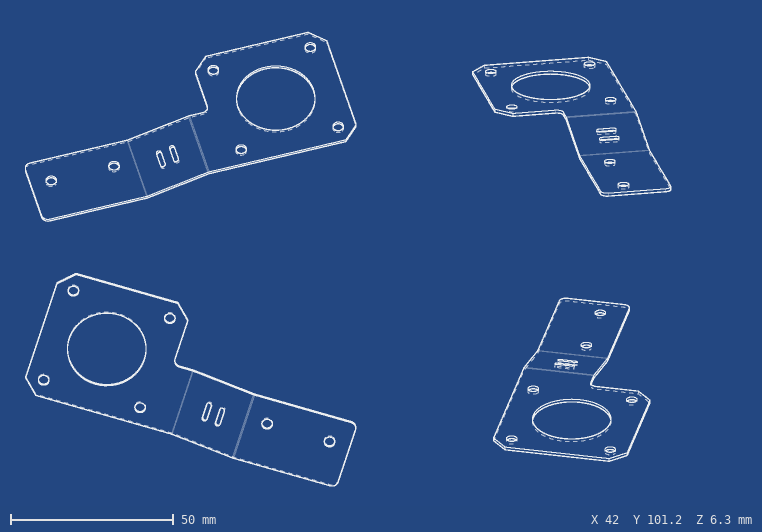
import cadquery as cq
import math

length = 101.2
thickness = 1.0
drop = 5.3
plate_side = 42.0
plate_chamfer = 4.7
arm_width = 22.0
arm_corner_radius = 2.0
neck_radius = 2.0

upper_bend_y = 52.7
bend_angle = math.radians(15)
inner_bend_radius = 0.5
outer_bend_radius = inner_bend_radius + thickness

bore_diameter = 24.1
hole_diameter = 3.2
hole_pitch = 31.0

arm_hole_inset = 8.1
arm_hole_start_y = 6.5
arm_hole_pitch = 20.0
slot_length = 6.1
slot_width = 1.5
slot_pitch = 4.4
slot_center_inset = 10.9
slot_offset = -0.2

top_z = drop + thickness
arm_left = plate_side - arm_width
plate_bottom = length - plate_side
plate_center = (plate_side / 2, length - plate_side / 2)
lower_bend_y = upper_bend_y - drop / math.tan(bend_angle)
miter_shift = thickness * math.tan(bend_angle / 2)


def folded_sheet():
    """Full-width sheet with two opposite bends, extruded along X."""
    profile = [
        (0, 0),
        (lower_bend_y + miter_shift, 0),
        (upper_bend_y + miter_shift, drop),
        (length, drop),
        (length, top_z),
        (upper_bend_y, top_z),
        (lower_bend_y, thickness),
        (0, thickness),
    ]
    sheet = cq.Workplane("YZ").polyline(profile).close().extrude(plate_side)

    def bend_edge(y, z):
        return cq.selectors.NearestToPointSelector((plate_side / 2, y, z))

    bends = [
        (lower_bend_y + miter_shift, 0, outer_bend_radius),
        (upper_bend_y + miter_shift, drop, inner_bend_radius),
        (upper_bend_y, top_z, outer_bend_radius),
        (lower_bend_y, thickness, inner_bend_radius),
    ]
    for y, z, radius in bends:
        sheet = sheet.edges("|X").edges(bend_edge(y, z)).fillet(radius)
    return sheet


def flat_outline():
    """Vertical prism of the square plate with its narrow arm."""
    plate = (
        cq.Workplane("XY")
        .center(*plate_center)
        .rect(plate_side, plate_side)
        .extrude(top_z)
        .edges("|Z and (<X or >Y)")
        .chamfer(plate_chamfer)
    )
    arm = (
        cq.Workplane("XY")
        .moveTo(arm_left, 0)
        .rect(arm_width, plate_center[1], centered=False)
        .extrude(top_z)
        .edges("|Z and <Y")
        .fillet(arm_corner_radius)
    )
    neck = cq.selectors.NearestToPointSelector((arm_left, plate_bottom, top_z / 2))
    return plate.union(arm).edges("|Z").edges(neck).fillet(neck_radius)


def round_holes():
    """Cutters for the bore, its four screw holes and the two arm holes."""
    bore = cq.Workplane("XY").center(*plate_center).circle(bore_diameter / 2).extrude(top_z)
    screws = (
        cq.Workplane("XY")
        .center(*plate_center)
        .rect(hole_pitch, hole_pitch, forConstruction=True)
        .vertices()
        .circle(hole_diameter / 2)
        .extrude(top_z)
    )
    arm_x = arm_left + arm_hole_inset
    arm_holes = (
        cq.Workplane("XY")
        .pushPoints([(arm_x, arm_hole_start_y + i * arm_hole_pitch) for i in range(2)])
        .circle(hole_diameter / 2)
        .extrude(top_z)
    )
    return bore.union(screws).union(arm_holes)


def ramp_slots():
    """Two slots square to the ramp, slightly below its middle."""
    ramp_middle = (
        arm_left + slot_center_inset,
        (lower_bend_y + upper_bend_y) / 2,
        drop / 2 + thickness,
    )
    normal = (0, -math.sin(bend_angle), math.cos(bend_angle))
    ramp_plane = cq.Plane(origin=ramp_middle, xDir=(1, 0, 0), normal=normal)
    return (
        cq.Workplane(ramp_plane)
        .pushPoints([(0, slot_offset + side * slot_pitch / 2) for side in (-1, 1)])
        .slot2D(slot_length, slot_width)
        .extrude(2 * thickness, both=True)
    )


result = folded_sheet().intersect(flat_outline()).cut(round_holes()).cut(ramp_slots())